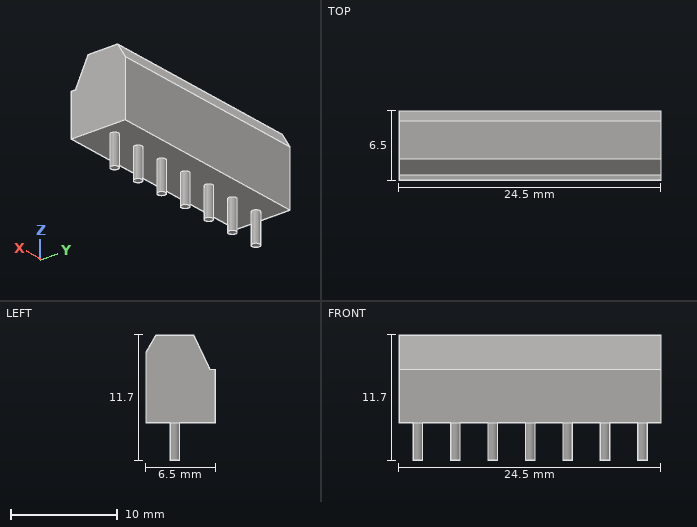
import cadquery as cq
import math

pin_count = 7
pitch = 3.5
length = pin_count * pitch
depth = 6.5
height = 8.2

ledge_height = 5.0
ledge_depth = 0.5
slope_top_inset = 2.02

bevel_angle = 30
bevel_drop = 1.6
bevel_depth = bevel_drop * math.tan(math.radians(bevel_angle))

pin_diameter = 0.9
pin_length = 3.5
pin_to_rear = 2.7

rear_y = pin_to_rear
front_y = rear_y - depth


def make_housing():
    """Extrude the YZ cross-section along X; its underside lies on Z = 0."""
    profile = [
        (front_y, 0),
        (rear_y, 0),
        (rear_y, height - bevel_drop),
        (rear_y - bevel_depth, height),
        (front_y + slope_top_inset, height),
        (front_y + ledge_depth, ledge_height),
        (front_y, ledge_height),
    ]
    return cq.Workplane("YZ").polyline(profile).close().extrude(length / 2, both=True)


def make_pins():
    """One row of round pins hanging from the underside, one per pitch."""
    return (
        cq.Workplane("XY")
        .rarray(pitch, 1, pin_count, 1)
        .circle(pin_diameter / 2)
        .extrude(-pin_length)
    )


result = make_housing().union(make_pins())